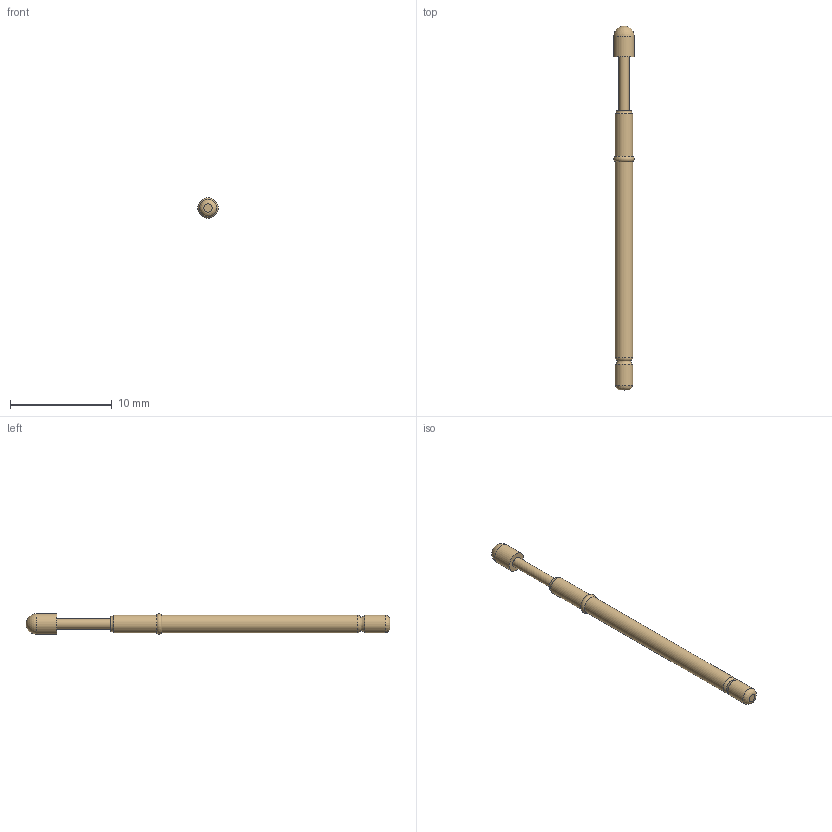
import cadquery as cq
import math


TOTAL_LENGTH = 35.7
HEAD_LENGTH = 3.0
BARREL_FRONT = 27.4
RING_CENTRE = 22.65
RING_WIDTH = 0.5
GROOVE_TAIL_EDGE = 2.5
GROOVE_WIDTH = 0.35
CRIMP_LENGTH = 0.33
NECK_LENGTH = 0.33

HEAD_RADIUS = 1.0
PLUNGER_RADIUS = 0.5
BARREL_RADIUS = 0.85
RING_RADIUS = 1.0
CRIMP_RADIUS = 0.68
NECK_RADIUS = 0.73

TAIL_ROUND = 0.45

HEAD_BACK = TOTAL_LENGTH - HEAD_LENGTH
DOME_START = TOTAL_LENGTH - HEAD_RADIUS
GROOVE_BOTTOM = GROOVE_TAIL_EDGE + GROOVE_WIDTH
CRIMP_END = GROOVE_BOTTOM + CRIMP_LENGTH
CRIMP_DEPTH = BARREL_RADIUS - CRIMP_RADIUS
RING_BACK = RING_CENTRE - RING_WIDTH / 2
RING_FRONT = RING_CENTRE + RING_WIDTH / 2
NECK_START = BARREL_FRONT - NECK_LENGTH
NECK_DEPTH = BARREL_RADIUS - NECK_RADIUS
DIAGONAL = math.sqrt(0.5)

PROFILE_PLANE = "YZ"


def tangent_arc_radius(length, depth):
    """Radius of an arc that starts parallel to the axis and moves by depth over length."""
    return (length**2 + depth**2) / (2 * depth)


def turn(outline):
    """Close a half profile and revolve it about the Y axis."""
    return outline.close().revolve(360, (0, 0, 0), (1, 0, 0))


def plunger():
    """Stem and domed head; the stem starts inside the barrel."""
    dome_mid = (DOME_START + HEAD_RADIUS * DIAGONAL, HEAD_RADIUS * DIAGONAL)
    outline = (
        cq.Workplane(PROFILE_PLANE)
        .moveTo(RING_CENTRE, 0)
        .lineTo(RING_CENTRE, PLUNGER_RADIUS)
        .lineTo(HEAD_BACK, PLUNGER_RADIUS)
        .lineTo(HEAD_BACK, HEAD_RADIUS)
        .lineTo(DOME_START, HEAD_RADIUS)
        .threePointArc(dome_mid, (TOTAL_LENGTH, 0))
    )
    return turn(outline)


def barrel():
    """Cylinder with a rounded tail, a crimp groove and a hollow neck at the front.

    The groove is a hollow arc from the tail plug followed by a rounded shoulder.
    """
    groove_curve = tangent_arc_radius(GROOVE_WIDTH, CRIMP_DEPTH)
    shoulder_curve = tangent_arc_radius(CRIMP_LENGTH, CRIMP_DEPTH)
    neck_curve = tangent_arc_radius(NECK_LENGTH, NECK_DEPTH)
    outline = (
        cq.Workplane(PROFILE_PLANE)
        .lineTo(0, BARREL_RADIUS - TAIL_ROUND)
        .radiusArc((TAIL_ROUND, BARREL_RADIUS), TAIL_ROUND)
        .lineTo(GROOVE_TAIL_EDGE, BARREL_RADIUS)
        .radiusArc((GROOVE_BOTTOM, CRIMP_RADIUS), -groove_curve)
        .radiusArc((CRIMP_END, BARREL_RADIUS), shoulder_curve)
        .lineTo(NECK_START, BARREL_RADIUS)
        .radiusArc((BARREL_FRONT, NECK_RADIUS), -neck_curve)
        .lineTo(BARREL_FRONT, 0)
    )
    return turn(outline)


def press_ring():
    """Raised ring around the barrel with an arched crown."""
    outline = (
        cq.Workplane(PROFILE_PLANE)
        .moveTo(RING_BACK, 0)
        .lineTo(RING_BACK, BARREL_RADIUS)
        .threePointArc((RING_CENTRE, RING_RADIUS), (RING_FRONT, BARREL_RADIUS))
        .lineTo(RING_FRONT, 0)
    )
    return turn(outline)


result = barrel().union(press_ring()).union(plunger())